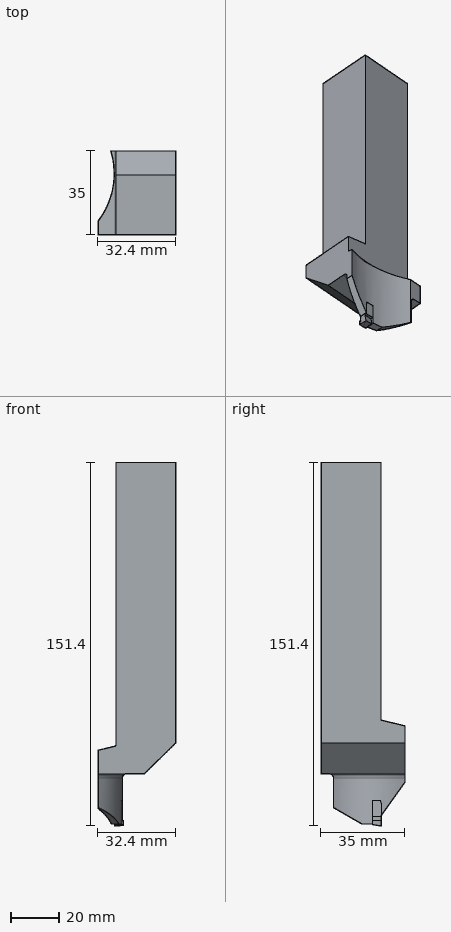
import cadquery as cq
import math

SHANK = 25.0
TOTAL_HEIGHT = 151.4

HEAD_LEFT = -7.4
HEAD_BACK = 35.0
HEAD_BOTTOM = 21.8
LEFT_LEDGE_INNER_Z = 33.5
LEFT_LEDGE_OUTER_Z = 31.6
BACK_LEDGE_INNER_Z = 44.2
BACK_LEDGE_OUTER_Z = 41.8
BEVEL_START_X = 11.8
BEVEL_TOP_Z = 34.7
LEDGE_FILLET = 0.6

ARC_CENTER_Y = 25.5
INNER_VERTEX_X = -0.8
INNER_RADIUS = 32.4
OUTER_VERTEX_X = 2.7
OUTER_RADIUS = 25.5
BLADE_BOTTOM = 0.9
BLADE_FRONT_Z = 7.7
BLADE_BACK_Z = 18.3
BOTTOM_FRONT_Y = 17.0
ROOT_FILLET = 1.7

INSERT_FRONT = 21.5
INSERT_BACK = 25.1
INSERT_TOP = 10.7
INSERT_CHAMFER_Y = 0.5
INSERT_CHAMFER_Z = 1.5
INSERT_HEEL_Z = 0.6
TIP_LEFT = -0.6
TIP_RIGHT = 3.2
TIP_RIGHT_BOTTOM = 0.3
OVERHANG_TOP = 2.3
TIP_TOP = 4.0
TIP_FACE_TOP_X = 0.2
BACK_SLOPE_END_Z = 4.5

OUTER_CENTER_X = OUTER_VERTEX_X - OUTER_RADIUS
INNER_CENTER_X = INNER_VERTEX_X - INNER_RADIUS


def extrude_along_x(points, start, end):
    """Extrude a (Y, Z) outline between two X positions."""
    return cq.Workplane("YZ", origin=(start, 0, 0)).polyline(points).close().extrude(end - start)


def extrude_along_y(points, start, end):
    """Extrude an (X, Z) outline between two Y positions."""
    return cq.Workplane("XZ", origin=(0, start, 0)).polyline(points).close().extrude(start - end)


def upright_cylinder(center_x, radius):
    """Full-height cylinder that carries one face of the blade."""
    return cq.Workplane("XY").center(center_x, ARC_CENTER_Y).circle(radius).extrude(TOTAL_HEIGHT)


def make_shank_and_head():
    """Bar and head: the X and Y outlines intersected."""
    front_outline = [
        (0, TOTAL_HEIGHT),
        (SHANK, TOTAL_HEIGHT),
        (SHANK, BEVEL_TOP_Z),
        (BEVEL_START_X, HEAD_BOTTOM),
        (HEAD_LEFT, HEAD_BOTTOM),
        (HEAD_LEFT, LEFT_LEDGE_OUTER_Z),
        (0, LEFT_LEDGE_INNER_Z),
    ]
    side_outline = [
        (0, TOTAL_HEIGHT),
        (SHANK, TOTAL_HEIGHT),
        (SHANK, BACK_LEDGE_INNER_Z),
        (HEAD_BACK, BACK_LEDGE_OUTER_Z),
        (HEAD_BACK, HEAD_BOTTOM),
        (0, HEAD_BOTTOM),
    ]
    ledge_corner = cq.selectors.BoxSelector(
        (-LEDGE_FILLET, 0, LEFT_LEDGE_INNER_Z - LEDGE_FILLET),
        (LEDGE_FILLET, HEAD_BACK, LEFT_LEDGE_INNER_Z + LEDGE_FILLET),
    )
    body = extrude_along_y(front_outline, 0, HEAD_BACK)
    body = body.edges(ledge_corner).fillet(LEDGE_FILLET)
    return body.intersect(extrude_along_x(side_outline, HEAD_LEFT, SHANK))


def make_blade():
    """Blade below the head; its concave face is cut later, together with the head."""
    front_y = ARC_CENTER_Y - math.sqrt(OUTER_RADIUS**2 - (HEAD_LEFT - OUTER_CENTER_X) ** 2)
    side_outline = [
        (front_y, HEAD_BOTTOM),
        (front_y, BLADE_FRONT_Z),
        (BOTTOM_FRONT_Y, BLADE_BOTTOM),
        (INSERT_BACK, BLADE_BOTTOM),
        (INSERT_BACK, BACK_SLOPE_END_Z),
        (HEAD_BACK, BLADE_BACK_Z),
        (HEAD_BACK, HEAD_BOTTOM),
    ]
    profile = extrude_along_x(side_outline, HEAD_LEFT, OUTER_VERTEX_X)
    return profile.intersect(upright_cylinder(OUTER_CENTER_X, OUTER_RADIUS))


def make_root_fillet():
    """Concave ring that blends the convex blade face into the head's underside."""
    low = HEAD_BOTTOM - ROOT_FILLET
    flare = OUTER_RADIUS + ROOT_FILLET
    arc_offset = ROOT_FILLET * (1 - math.sqrt(0.5))
    ring = (
        cq.Workplane("XZ")
        .moveTo(0, low)
        .lineTo(OUTER_RADIUS, low)
        .threePointArc((OUTER_RADIUS + arc_offset, HEAD_BOTTOM - arc_offset), (flare, HEAD_BOTTOM))
        .lineTo(0, HEAD_BOTTOM)
        .close()
        .revolve(360, (0, 0, 0), (0, 1, 0))
        .translate((OUTER_CENTER_X, ARC_CENTER_Y, 0))
    )
    limits = cq.Workplane("XY").box(SHANK - HEAD_LEFT, HEAD_BACK, HEAD_BOTTOM, centered=False)
    return ring.intersect(limits.translate((HEAD_LEFT, 0, 0)))


def make_insert():
    """Stem flush with both blade faces, and a cutting tip that overhangs on +X."""
    side_outline = [
        (INSERT_FRONT, INSERT_HEEL_Z),
        (INSERT_BACK, 0),
        (INSERT_BACK, INSERT_TOP - INSERT_CHAMFER_Z),
        (INSERT_BACK - INSERT_CHAMFER_Y, INSERT_TOP),
        (INSERT_FRONT, INSERT_TOP),
    ]
    tip_outline = [
        (TIP_LEFT, 0),
        (TIP_RIGHT, TIP_RIGHT_BOTTOM),
        (TIP_RIGHT, OVERHANG_TOP),
        (OUTER_VERTEX_X, OVERHANG_TOP),
        (OUTER_VERTEX_X, TIP_TOP),
        (TIP_FACE_TOP_X, TIP_TOP),
    ]
    profile = extrude_along_x(side_outline, HEAD_LEFT, TIP_RIGHT)
    tip_zone = cq.Workplane("XY").box(SHANK - HEAD_LEFT, HEAD_BACK, TIP_TOP, centered=False)
    stem = profile.cut(tip_zone.translate((HEAD_LEFT, 0, 0)))
    stem = stem.intersect(upright_cylinder(OUTER_CENTER_X, OUTER_RADIUS))
    stem = stem.cut(upright_cylinder(INNER_CENTER_X, INNER_RADIUS))
    tip = extrude_along_y(tip_outline, INSERT_FRONT, INSERT_BACK).intersect(profile)
    return stem.union(tip)


def make_holder(insert):
    """Shank, head and blade in one piece, hollowed on -X and seated for the insert."""
    body = make_shank_and_head().union(make_blade()).union(make_root_fillet())
    body = body.cut(upright_cylinder(INNER_CENTER_X, INNER_RADIUS))
    seat_bottom = cq.Workplane("XY").box(
        TIP_RIGHT - HEAD_LEFT, INSERT_BACK - INSERT_FRONT, TIP_TOP, centered=False
    ).translate((HEAD_LEFT, INSERT_FRONT, 0))
    return body.cut(seat_bottom).cut(insert)


cutting_insert = make_insert()
holder = make_holder(cutting_insert)

result = cq.Compound.makeCompound([holder.solids().val(), cutting_insert.solids().val()])